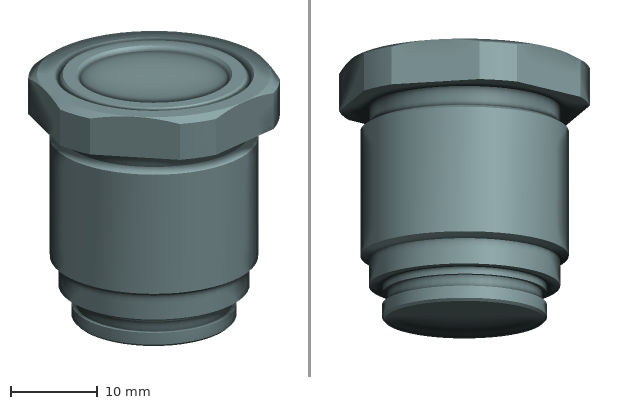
import cadquery as cq
import math

total_height = 30.0
thread_diameter = 22.02
barrel_diameter = 24.0
spigot_diameter = 19.0
groove_diameter = 18.0

spigot_top = 4.0
barrel_bottom = 7.0
barrel_top = 22.85
groove_bottom = 1.75
groove_top = 3.15
spigot_chamfer = 0.3
thread_chamfer = 0.5

recess_diameter = 18.0
recess_floor_diameter = 16.98

nut_sides = 6
nut_height = 5.0
nut_across_flats = 27.0
nut_corner_diameter = 28.95
nut_top_face_diameter = 26.95
nut_bore_chamfer = thread_chamfer

bevel_slope = math.tan(math.radians(30))


def make_body():
    """Revolve the stepped profile and sink the 45 degree dish into its top."""
    thread_radius = thread_diameter / 2
    barrel_radius = barrel_diameter / 2
    spigot_radius = spigot_diameter / 2
    groove_radius = groove_diameter / 2
    recess_radius = recess_diameter / 2
    floor_radius = recess_floor_diameter / 2
    barrel_bevel = (barrel_radius - thread_radius) * bevel_slope
    recess_depth = recess_radius - floor_radius

    profile = [
        (0, 0),
        (spigot_radius - spigot_chamfer, 0),
        (spigot_radius, spigot_chamfer),
        (spigot_radius, groove_bottom),
        (groove_radius, groove_bottom),
        (groove_radius, groove_top),
        (spigot_radius, groove_top),
        (spigot_radius, spigot_top),
        (thread_radius, spigot_top),
        (thread_radius, barrel_bottom),
        (barrel_radius, barrel_bottom + barrel_bevel),
        (barrel_radius, barrel_top - barrel_bevel),
        (thread_radius, barrel_top),
        (thread_radius, total_height - thread_chamfer),
        (thread_radius - thread_chamfer, total_height),
        (recess_radius, total_height),
        (floor_radius, total_height - recess_depth),
        (0, total_height - recess_depth),
    ]
    return cq.Workplane("XZ").polyline(profile).close().revolve(360, (0, 0), (0, 1))


def make_nut():
    """Trim a hexagonal prism with a bevelled, bored round blank."""
    nut_bottom = total_height - nut_height
    bore_radius = thread_diameter / 2
    corner_radius = nut_corner_diameter / 2
    top_face_radius = nut_top_face_diameter / 2
    corner_bevel = (corner_radius - top_face_radius) * bevel_slope

    blank_profile = [
        (bore_radius, nut_bottom),
        (corner_radius, nut_bottom),
        (corner_radius, total_height - corner_bevel),
        (top_face_radius, total_height),
        (bore_radius + nut_bore_chamfer, total_height),
        (bore_radius, total_height - nut_bore_chamfer),
    ]
    blank = cq.Workplane("XZ").polyline(blank_profile).close().revolve(360, (0, 0), (0, 1))

    hexagon_diameter = nut_across_flats / math.cos(math.pi / nut_sides)

    hexagon = (
        cq.Workplane("XY")
        .workplane(offset=nut_bottom)
        .polygon(nut_sides, hexagon_diameter)
        .extrude(nut_height)
    )
    return hexagon.intersect(blank)


body = make_body()
nut = make_nut()

result = cq.Compound.makeCompound([body.val(), nut.val()])